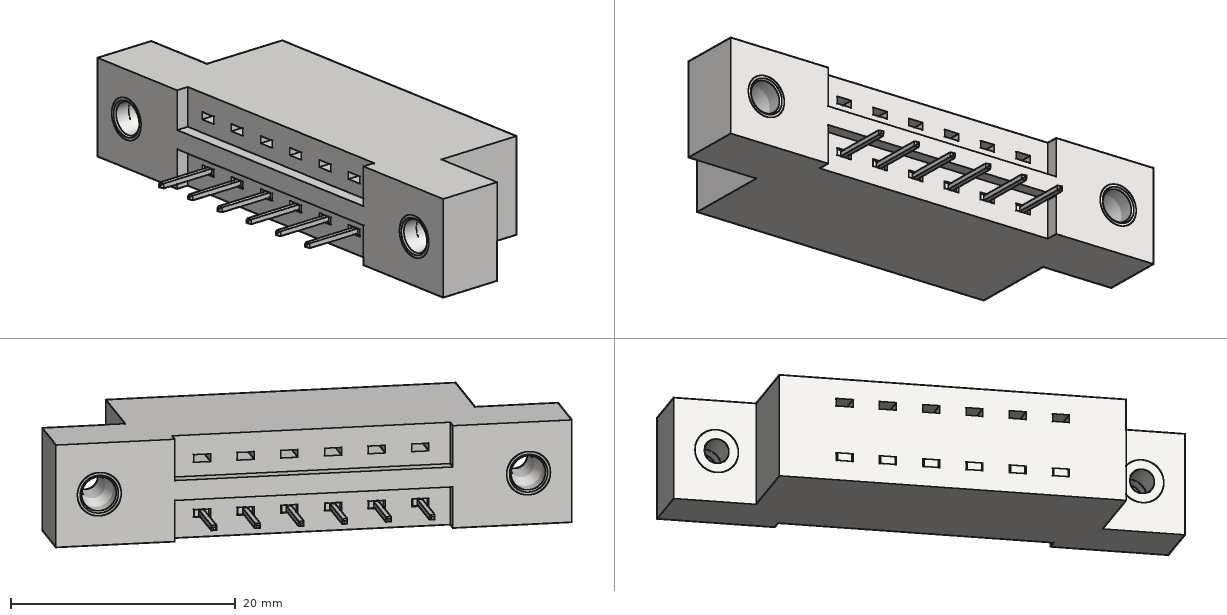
import cadquery as cq

FLANGE_WIDTH = 46.8
FLANGE_DEPTH = 6.35
CORE_WIDTH = 31.72
HOUSING_DEPTH = 15.25
HOUSING_HEIGHT = 9.4

RECESS_WIDTH = 25.2
RECESS_DEPTH = 1.25
WEB_HEIGHT = 1.82

CONTACT_COUNT = 6
ROW_LENGTH = 19.8
CONTACT_PITCH = ROW_LENGTH / (CONTACT_COUNT - 1)
ROW_OFFSET = 2.55
SLOT_WIDTH = 1.55
SLOT_HEIGHT = 0.7

BLADE_WIDTH = 1.3
BLADE_SETBACK = 0.25
TAIL_SIZE = 0.45
TAIL_REACH = 4.45
TIP_LENGTH = 0.3
TIP_SIZE = 0.25

INSERT_SPACING = 38.95
INSERT_DIAMETER = 4.0
MOUTH_DIAMETER = 3.45
BARREL_DIAMETER = 3.15
BORE_DIAMETER = 2.25
BARREL_DEPTH = 1.65
CONE_DEPTH = 1.4

MOUTH_CHAMFER = (MOUTH_DIAMETER - BARREL_DIAMETER) / 2
BLADE_FRONT = RECESS_DEPTH + BLADE_SETBACK
CONTACT_XS = [i * CONTACT_PITCH - ROW_LENGTH / 2 for i in range(CONTACT_COUNT)]
INSERT_XS = [-INSERT_SPACING / 2, INSERT_SPACING / 2]


def block(width, height, front, back, x=0, z=0):
    """Box between two Y positions, centred on x and z."""
    depth = back - front
    return cq.Workplane("XY").box(width, depth, height).translate((x, (front + back) / 2, z))


def make_housing():
    body = block(FLANGE_WIDTH, HOUSING_HEIGHT, 0, FLANGE_DEPTH)
    body = body.union(block(CORE_WIDTH, HOUSING_HEIGHT, 0, HOUSING_DEPTH))
    recess_height = (HOUSING_HEIGHT - WEB_HEIGHT) / 2
    recess_z = (HOUSING_HEIGHT + WEB_HEIGHT) / 4
    for side in (-1, 1):
        body = body.cut(block(RECESS_WIDTH, recess_height, 0, RECESS_DEPTH, z=side * recess_z))
        for x in CONTACT_XS:
            slot = block(SLOT_WIDTH, SLOT_HEIGHT, RECESS_DEPTH, HOUSING_DEPTH, x, side * ROW_OFFSET)
            body = body.cut(slot)
    for x in INSERT_XS:
        hole = cq.Solid.makeCylinder(
            INSERT_DIAMETER / 2, FLANGE_DEPTH, cq.Vector(x, 0, 0), cq.Vector(0, 1, 0)
        )
        body = body.cut(cq.Workplane(hole))
    return body


def make_contact(x):
    blade = block(BLADE_WIDTH, SLOT_HEIGHT, BLADE_FRONT, HOUSING_DEPTH, x, -ROW_OFFSET)
    tail_end = TIP_LENGTH - TAIL_REACH
    tail = block(TAIL_SIZE, TAIL_SIZE, tail_end, BLADE_FRONT, x, -ROW_OFFSET)
    tip = (
        cq.Workplane("XZ", origin=(x, tail_end, -ROW_OFFSET))
        .rect(TAIL_SIZE, TAIL_SIZE)
        .workplane(offset=TIP_LENGTH)
        .rect(TIP_SIZE, TIP_SIZE)
        .loft()
    )
    return blade.union(tail).union(tip)


def make_insert(x):
    """Insert turned about its own Y axis, then moved to x."""
    profile = [
        (INSERT_DIAMETER / 2, 0),
        (MOUTH_DIAMETER / 2, 0),
        (BARREL_DIAMETER / 2, MOUTH_CHAMFER),
        (BARREL_DIAMETER / 2, BARREL_DEPTH),
        (BORE_DIAMETER / 2, BARREL_DEPTH + CONE_DEPTH),
        (BORE_DIAMETER / 2, FLANGE_DEPTH),
        (INSERT_DIAMETER / 2, FLANGE_DEPTH),
    ]
    insert = cq.Workplane("XY").polyline(profile).close().revolve(360, (0, 0, 0), (0, 1, 0))
    return insert.translate((x, 0, 0))


housing = make_housing()
contacts = [make_contact(x).val() for x in CONTACT_XS]
inserts = [make_insert(x).val() for x in INSERT_XS]

result = cq.Compound.makeCompound([housing.val(), *contacts, *inserts])